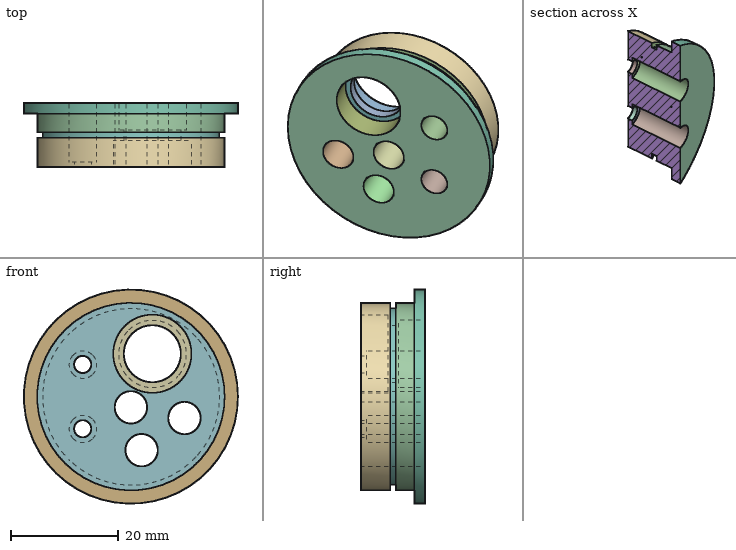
import cadquery as cq

length = 12.0
flange_diameter = 40.0
flange_thickness = 2.0
body_diameter = 35.0

groove_diameter = 33.0
groove_width = 1.0
groove_from_flange_face = 5.5

port_center = (4.0, 8.0)
port_diameter = 10.6
port_recess_diameter = 14.6
port_recess_depth = 5.0
port_land_length = 2.0
port_back_diameter = 12.6

pipe_hole_diameter = 6.0
pipe_hole_centers = [(0.0, -2.0), (10.0, -4.0), (2.0, -10.0)]
screw_hole_diameter = 3.15
screw_seat_diameter = 5.1
screw_seat_thickness = 1.0
screw_hole_centers = [(-9.0, 6.0), (-9.0, -6.0)]

front_y = -length / 2
back_y = length / 2


def cylinder(diameter, start_y, end_y, center=(0.0, 0.0)):
    """Cylinder along Y from start_y to end_y, centered at (X, Z)."""
    x, z = center
    base = cq.Workplane("XZ", origin=(x, start_y, z))
    return base.circle(diameter / 2).extrude(start_y - end_y)


def make_body():
    """Flanged round plug with its ring groove."""
    body = cylinder(body_diameter, front_y, back_y)
    flange = cylinder(flange_diameter, back_y - flange_thickness, back_y)
    groove_end = back_y - groove_from_flange_face
    groove_start = groove_end - groove_width
    ring = cylinder(flange_diameter, groove_start, groove_end)
    ring = ring.cut(cylinder(groove_diameter, groove_start, groove_end))
    return body.cut(ring).union(flange)


def cut_port(part):
    """Through port with a narrow land between wider front and back recesses."""
    recess_floor = front_y + port_recess_depth
    part = part.cut(cylinder(port_recess_diameter, front_y, recess_floor, port_center))
    land_end = recess_floor + port_land_length
    part = part.cut(cylinder(port_back_diameter, land_end, back_y, port_center))
    return part.cut(cylinder(port_diameter, front_y, back_y, port_center))


def cut_holes(part, diameter, centers, start_y=front_y):
    """Round holes from start_y out through the back face."""
    for center in centers:
        part = part.cut(cylinder(diameter, start_y, back_y, center))
    return part


result = make_body()
result = cut_port(result)
result = cut_holes(result, pipe_hole_diameter, pipe_hole_centers)
result = cut_holes(result, screw_hole_diameter, screw_hole_centers)

seat_y = front_y + screw_seat_thickness
result = cut_holes(result, screw_seat_diameter, screw_hole_centers, seat_y)